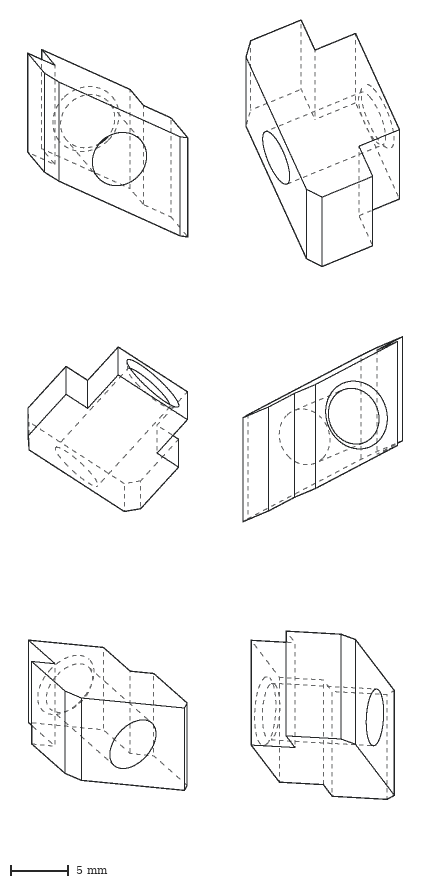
import cadquery as cq
import math

length = 10.0
head_width = 13.0
height = 16.74
neck_length = 4.0
neck_width = 8.0
head_chamfer = 1.0
slope_angle = 30.0
hole_diameter = 4.92
countersink_diameter = 6.0
countersink_angle = 90.0

slope_rise = head_width * math.tan(math.radians(slope_angle))
side_height = height - slope_rise


def make_tee():
    """T-section with chamfered head corners, extruded to the full height."""
    half_head = head_width / 2
    half_neck = neck_width / 2
    upper_half = [
        (0, half_neck),
        (neck_length, half_neck),
        (neck_length, half_head),
        (length - head_chamfer, half_head),
        (length, half_head - head_chamfer),
    ]
    lower_half = [(x, -y) for x, y in reversed(upper_half)]
    outline = cq.Workplane("XY").workplane(offset=-height / 2)
    return outline.polyline(upper_half + lower_half).close().extrude(height)


def make_rhomboid():
    """Parallelogram in YZ that gives the nut its sloping end faces."""
    half_width = head_width / 2
    half_height = height / 2
    corners = [
        (-half_width, half_height),
        (-half_width, half_height - side_height),
        (half_width, -half_height),
        (half_width, -half_height + side_height),
    ]
    return cq.Workplane("YZ").polyline(corners).close().extrude(length)


body = make_tee().intersect(make_rhomboid())

result = body.faces("<X").workplane(origin=(0, 0, 0)).cskHole(
    hole_diameter, countersink_diameter, countersink_angle
)